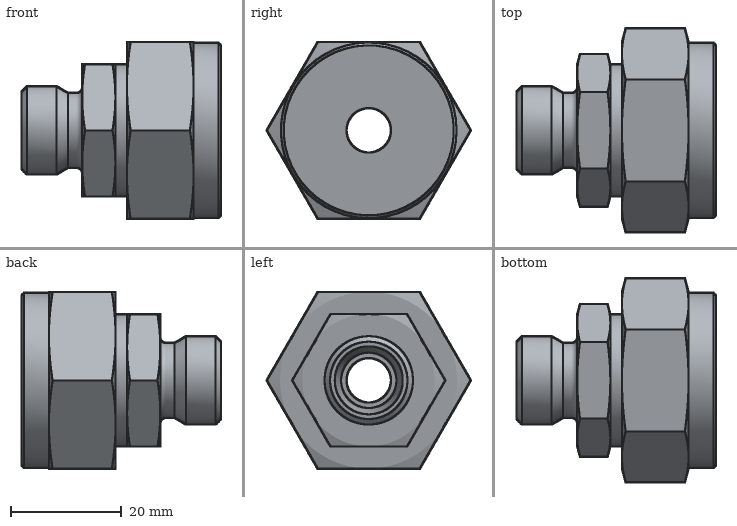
import cadquery as cq
import math


nut_corners = 36.95
nut_start = 19.1
nut_end = 31.15

body_flats = 23.98
body_corners = body_flats / math.cos(math.radians(30))
body_start = 11.0
body_end = 17.0
hex_chamfer_angle = 15.0

total_length = 36.15
skirt_diameter = 31.78
skirt_chamfer = 0.5

spigot_diameter = 16.0
spigot_chamfer = 1.0
spigot_end = 6.4
neck_diameter = 13.65
neck_taper_angle = 30.0
neck_fillet = 1.0

mouth_diameter = 12.3
cone_half_angle = 12.0
seat_diameter = 10.0
seat_depth = 7.02
bore_diameter = 7.98


def revolve_about_x(profile):
    """Turn a closed (x, radius) profile fully about the X axis."""
    return profile.revolve(360, (0, 0, 0), (1, 0, 0))


def chamfered_hexagon(start, end, corners):
    """Hexagonal prism along X whose corners are cut by a shallow cone at both ends."""
    prism = cq.Workplane("YZ", origin=(start, 0, 0)).polygon(6, corners).extrude(end - start)
    corner_radius = corners / 2
    flat_radius = corner_radius * math.cos(math.radians(30))
    setback = (corner_radius - flat_radius) * math.tan(math.radians(hex_chamfer_angle))
    envelope = revolve_about_x(
        cq.Workplane("XY").polyline([
            (start, 0),
            (start, flat_radius),
            (start + setback, corner_radius),
            (end - setback, corner_radius),
            (end, flat_radius),
            (end, 0),
        ]).close()
    )
    return prism.intersect(envelope)


def spigot():
    """Threaded end with a front chamfer, a tapered relief and a fillet into the body."""
    outer = spigot_diameter / 2
    neck = neck_diameter / 2
    taper_length = (outer - neck) / math.tan(math.radians(neck_taper_angle))
    fillet_start = body_start - neck_fillet
    diagonal = neck_fillet * math.sqrt(0.5)
    fillet_middle = (fillet_start + diagonal, neck + neck_fillet - diagonal)
    return revolve_about_x(
        cq.Workplane("XY")
        .moveTo(0, 0)
        .lineTo(0, outer - spigot_chamfer)
        .lineTo(spigot_chamfer, outer)
        .lineTo(spigot_end, outer)
        .lineTo(spigot_end + taper_length, neck)
        .lineTo(fillet_start, neck)
        .threePointArc(fillet_middle, (body_start, neck + neck_fillet))
        .lineTo(body_start, 0)
        .close()
    )


def round_section(start, end, diameter):
    """Solid cylinder along X."""
    return cq.Workplane("YZ", origin=(start, 0, 0)).circle(diameter / 2).extrude(end - start)


def tube_socket():
    """Cutter for the cone mouth, the straight seat and the through bore."""
    mouth = mouth_diameter / 2
    seat = seat_diameter / 2
    bore = bore_diameter / 2
    cone_depth = (mouth - seat) / math.tan(math.radians(cone_half_angle))
    return revolve_about_x(
        cq.Workplane("XY").polyline([
            (0, 0),
            (0, mouth),
            (cone_depth, seat),
            (seat_depth, seat),
            (seat_depth, bore),
            (total_length, bore),
            (total_length, 0),
        ]).close()
    )


body = chamfered_hexagon(body_start, body_end, body_corners)
collar = round_section(body_end, nut_start, body_flats)
nut = chamfered_hexagon(nut_start, nut_end, nut_corners)
skirt = round_section(nut_end, total_length, skirt_diameter).faces(">X").chamfer(skirt_chamfer)

result = spigot().union(body).union(collar).union(nut).union(skirt).cut(tube_socket())